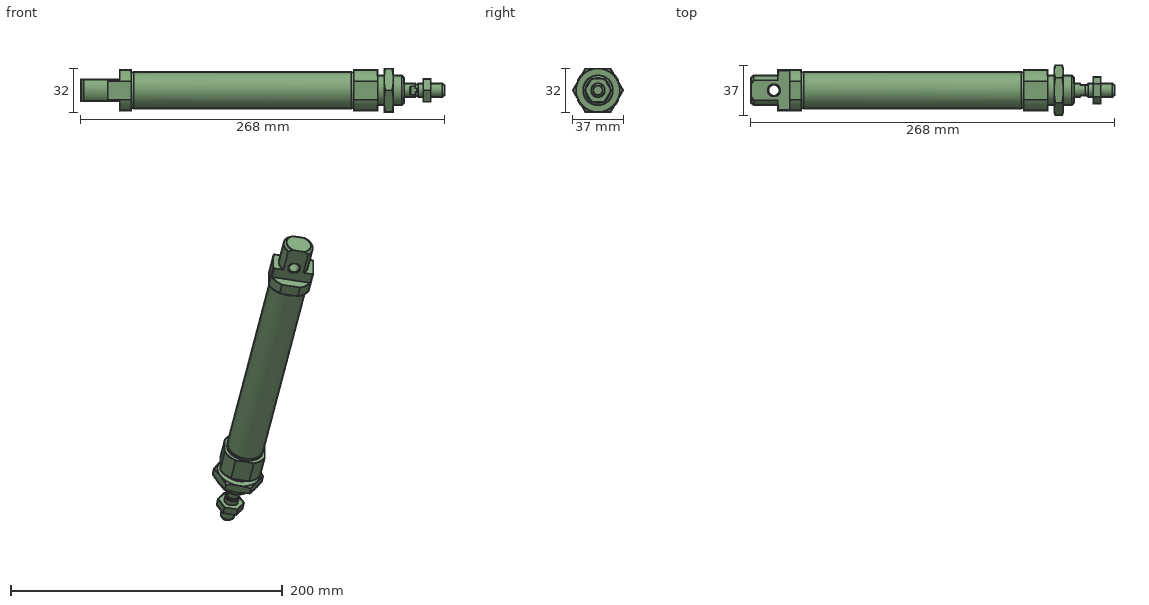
import cadquery as cq
import math


OVERALL_LENGTH = 268.0
EYE_LENGTH = 19.8
REAR_FLAT_END = 28.5
REAR_CAP_END = 37.0
TUBE_START = 38.9
TUBE_END = 198.9
FRONT_CAP_START = 200.7
FRONT_CAP_END = 218.5
NOSE_NUT_START = 223.2
NOSE_END = 238.0
WRENCH_FLAT_START = 242.0
RELIEF_START = 246.0
THREAD_START = 248.2
ROD_NUT_START = 252.0

CAP_ACROSS_FLATS = 30.0
CAP_DIAMETER = 33.0
COLLAR_DIAMETER = 26.8
TUBE_DIAMETER = 27.0

EYE_DIAMETER = 22.0
EYE_THICKNESS = 16.0
EYE_CHAMFER = 2.0
EYE_HOLE_DIAMETER = 8.0
EYE_HOLE_X = 17.0
EYE_HOLE_CHAMFER = 0.5

NOSE_DIAMETER = 22.0
NOSE_CHAMFER = 2.0
NOSE_NUT_ACROSS_CORNERS = 37.0
NOSE_NUT_WIDTH = 6.7
NOSE_NUT_FACE_DIAMETER = 32.2
NOSE_NUT_BEVEL_ANGLE = 20.0

ROD_DIAMETER = 10.2
ROD_END_CHAMFER_LENGTH = 2.1
ROD_END_CHAMFER_DEPTH = 1.5
WRENCH_ACROSS_FLATS = 8.0
WRENCH_RUNOUT = 0.8
RELIEF_DIAMETER = 8.5
THREAD_LEAD_IN = 0.8
ROD_NUT_ACROSS_CORNERS = 19.5
ROD_NUT_WIDTH = 5.5


def cylinder(diameter, start, end):
    """Round bar on the X axis between two stations."""
    return cq.Workplane("YZ", origin=(start, 0, 0)).circle(diameter / 2).extrude(end - start)


def revolved(profile):
    """Solid turned about the X axis from (station, radius) points."""
    return cq.Workplane("XY").polyline(profile).close().revolve(360, (0, 0, 0), (1, 0, 0))


def cap_block(start, end):
    """Round cap with four flats, on +/-Y and +/-Z."""
    square = (
        cq.Workplane("YZ", origin=(start, 0, 0))
        .rect(CAP_ACROSS_FLATS, CAP_ACROSS_FLATS)
        .extrude(end - start)
    )
    return cylinder(CAP_DIAMETER, start, end).intersect(square)


def hex_nut(across_corners, bore_diameter, start, width):
    """Hexagon nut with corners on +/-Y and a plain bore."""
    return (
        cq.Workplane("YZ", origin=(start, 0, 0))
        .polygon(6, across_corners)
        .circle(bore_diameter / 2)
        .extrude(width)
    )


def make_rear_cap():
    eye = cylinder(EYE_DIAMETER, 0, EYE_LENGTH).faces("<X").chamfer(EYE_CHAMFER)
    block = cap_block(EYE_LENGTH, REAR_CAP_END)
    tongue_slab = cq.Workplane("XY").box(
        REAR_FLAT_END, CAP_DIAMETER, EYE_THICKNESS, centered=(False, True, True)
    )
    full_section = cylinder(CAP_DIAMETER, REAR_FLAT_END, REAR_CAP_END)
    body = eye.union(block).intersect(tongue_slab.union(full_section))
    eye_hole = (
        cq.Workplane("XY")
        .center(EYE_HOLE_X, 0)
        .circle(EYE_HOLE_DIAMETER / 2)
        .extrude(EYE_THICKNESS, both=True)
    )
    collar = cylinder(COLLAR_DIAMETER, REAR_CAP_END, TUBE_START)
    drilled = body.cut(eye_hole)
    for side in (1, -1):
        sink = cq.Solid.makeCone(
            EYE_HOLE_DIAMETER / 2 + EYE_HOLE_CHAMFER,
            EYE_HOLE_DIAMETER / 2,
            EYE_HOLE_CHAMFER,
            pnt=cq.Vector(EYE_HOLE_X, 0, side * EYE_THICKNESS / 2),
            dir=cq.Vector(0, 0, -side),
        )
        drilled = drilled.cut(cq.Workplane(sink))
    return drilled.union(collar)


def make_tube():
    return cylinder(TUBE_DIAMETER, TUBE_START, TUBE_END)


def make_front_cap():
    collar = cylinder(COLLAR_DIAMETER, TUBE_END, FRONT_CAP_START)
    block = cap_block(FRONT_CAP_START, FRONT_CAP_END)
    nose = cylinder(NOSE_DIAMETER, FRONT_CAP_END, NOSE_END).faces(">X").chamfer(NOSE_CHAMFER)
    rod_bore = cylinder(ROD_DIAMETER, TUBE_END, NOSE_END)
    return collar.union(block).union(nose).cut(rod_bore)


def make_nose_nut():
    nut = hex_nut(NOSE_NUT_ACROSS_CORNERS, NOSE_DIAMETER, NOSE_NUT_START, NOSE_NUT_WIDTH)
    end = NOSE_NUT_START + NOSE_NUT_WIDTH
    face_radius = NOSE_NUT_FACE_DIAMETER / 2
    corner_radius = NOSE_NUT_ACROSS_CORNERS / 2
    bevel_length = (corner_radius - face_radius) * math.tan(math.radians(NOSE_NUT_BEVEL_ANGLE))
    envelope = revolved(
        [
            (NOSE_NUT_START, 0),
            (NOSE_NUT_START, face_radius),
            (NOSE_NUT_START + bevel_length, corner_radius),
            (end - bevel_length, corner_radius),
            (end, face_radius),
            (end, 0),
        ]
    )
    return nut.intersect(envelope)


def wrench_flat_cutter():
    """Trapezoid that cuts the +Y wrench flat, sloped at both ends."""
    flat_y = WRENCH_ACROSS_FLATS / 2
    outer_y = ROD_DIAMETER / 2
    return (
        cq.Workplane("XY")
        .moveTo(WRENCH_FLAT_START, outer_y)
        .lineTo(WRENCH_FLAT_START + WRENCH_RUNOUT, flat_y)
        .lineTo(THREAD_START - THREAD_LEAD_IN, flat_y)
        .lineTo(THREAD_START, outer_y)
        .close()
        .extrude(ROD_DIAMETER, both=True)
    )


def make_rod():
    shank = cylinder(ROD_DIAMETER, TUBE_END, RELIEF_START)
    relief = cylinder(RELIEF_DIAMETER, RELIEF_START, THREAD_START)
    thread = revolved(
        [
            (THREAD_START, 0),
            (THREAD_START, ROD_DIAMETER / 2),
            (OVERALL_LENGTH - ROD_END_CHAMFER_LENGTH, ROD_DIAMETER / 2),
            (OVERALL_LENGTH, ROD_DIAMETER / 2 - ROD_END_CHAMFER_DEPTH),
            (OVERALL_LENGTH, 0),
        ]
    )
    flat_cutter = wrench_flat_cutter()
    return shank.union(relief).union(thread).cut(flat_cutter).cut(flat_cutter.mirror("XZ"))


def make_rod_nut():
    return hex_nut(ROD_NUT_ACROSS_CORNERS, ROD_DIAMETER, ROD_NUT_START, ROD_NUT_WIDTH)


rear_cap = make_rear_cap()
tube = make_tube()
front_cap = make_front_cap()
nose_nut = make_nose_nut()
rod = make_rod()
rod_nut = make_rod_nut()

result = cq.Compound.makeCompound(
    [rear_cap.val(), tube.val(), front_cap.val(), nose_nut.val(), rod.val(), rod_nut.val()]
)